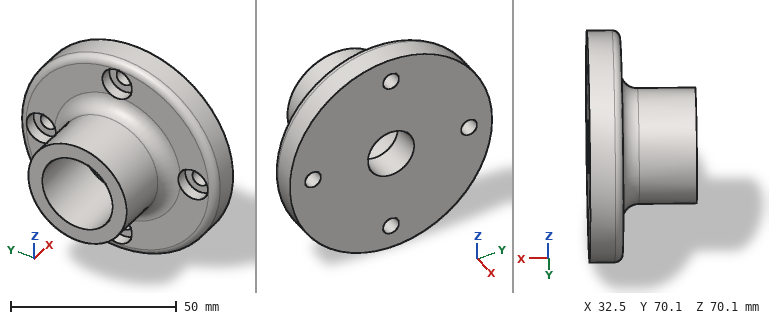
import cadquery as cq

flange_diameter = 70.1
flange_thickness = 10.0
total_length = 32.5

sleeve_diameter = 35.05
neck_fillet = 5.0
rim_fillet = 2.5
bore_diameter = 25.0
floor_thickness = flange_thickness
passage_diameter = 16.0

screw_count = 4
screw_circle_diameter = 54.05
screw_diameter = 5.5
counterbore_diameter = 10.5
counterbore_depth = 4.0

back_x = total_length / 2
sleeve_end_x = back_x - total_length
flange_face_x = back_x - flange_thickness


def cylinder(diameter, start_x, length):
    """Cylinder about the X axis, growing toward +X from start_x."""
    return cq.Workplane("YZ", origin=(start_x, 0, 0)).circle(diameter / 2).extrude(length)


def make_body():
    """Flange and sleeve turned from one half profile, with a rounded rim and a concave neck fillet."""
    flange_radius = flange_diameter / 2
    sleeve_radius = sleeve_diameter / 2
    profile = (
        cq.Workplane("XY")
        .moveTo(back_x, 0)
        .lineTo(back_x, flange_radius)
        .lineTo(flange_face_x + rim_fillet, flange_radius)
        .radiusArc((flange_face_x, flange_radius - rim_fillet), -rim_fillet)
        .lineTo(flange_face_x, sleeve_radius + neck_fillet)
        .radiusArc((flange_face_x - neck_fillet, sleeve_radius), neck_fillet)
        .lineTo(sleeve_end_x, sleeve_radius)
        .lineTo(sleeve_end_x, 0)
        .close()
    )
    return profile.revolve(360, (0, 0, 0), (1, 0, 0))


def make_bore():
    """Stepped centre opening: wide sleeve bore, then a narrower passage through the floor."""
    wide = cylinder(bore_diameter, sleeve_end_x, total_length - floor_thickness)
    passage = cylinder(passage_diameter, sleeve_end_x, total_length)
    return wide.union(passage)


def make_screw_holes():
    """Screw holes on the Y and Z axes, counterbored from the sleeve side past the neck fillet."""
    cut_start_x = flange_face_x - neck_fillet
    pattern = cq.Workplane("YZ", origin=(cut_start_x, 0, 0)).polarArray(
        screw_circle_diameter / 2, 0, 360, screw_count
    )
    shanks = pattern.circle(screw_diameter / 2).extrude(back_x - cut_start_x)
    heads = pattern.circle(counterbore_diameter / 2).extrude(neck_fillet + counterbore_depth)
    return shanks.union(heads)


result = make_body().cut(make_bore()).cut(make_screw_holes())